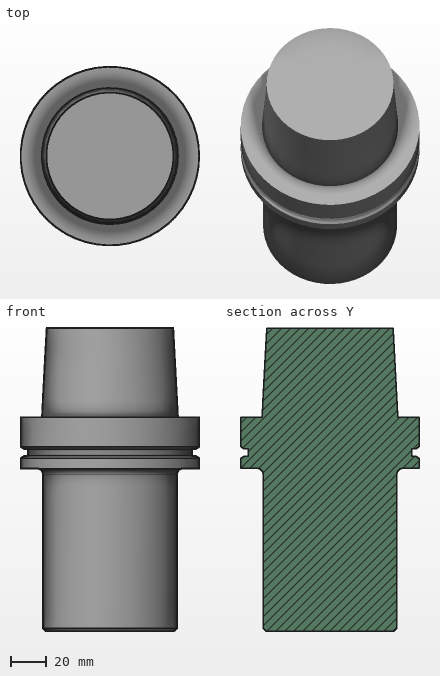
import cadquery as cq

total_length = 169.8
taper_length = 50.0
flange_diameter = 100.0
groove_diameter = 92.0
body_diameter = 75.0
taper_base_diameter = 76.3
taper_top_diameter = 71.0

flange_thickness = 28.9
groove_top_depth = 18.0
groove_width = 3.7
mouth_chamfer_width = 2.0
mouth_chamfer_height = 1.4

neck_radius = 3.2
end_chamfer = 1.7

flange_radius = flange_diameter / 2
groove_bottom_depth = groove_top_depth + groove_width
mouth_radius = flange_radius - mouth_chamfer_width
groove_radius = groove_diameter / 2
body_radius = body_diameter / 2
body_end = taper_length - total_length

profile = (
    cq.Workplane("XZ")
    .moveTo(0, taper_length)
    .lineTo(taper_top_diameter / 2, taper_length)
    .lineTo(taper_base_diameter / 2, 0)
    .lineTo(flange_radius, 0)
    .lineTo(flange_radius, mouth_chamfer_height - groove_top_depth)
    .lineTo(mouth_radius, -groove_top_depth)
    .lineTo(groove_radius, -groove_top_depth)
    .lineTo(groove_radius, -groove_bottom_depth)
    .lineTo(mouth_radius, -groove_bottom_depth)
    .lineTo(flange_radius, -groove_bottom_depth - mouth_chamfer_height)
    .lineTo(flange_radius, -flange_thickness)
    .lineTo(body_radius + neck_radius, -flange_thickness)
    .radiusArc((body_radius, -flange_thickness - neck_radius), -neck_radius)
    .lineTo(body_radius, body_end + end_chamfer)
    .lineTo(body_radius - end_chamfer, body_end)
    .lineTo(0, body_end)
    .close()
)
result = profile.revolve(360, (0, 0, 0), (0, 1, 0))